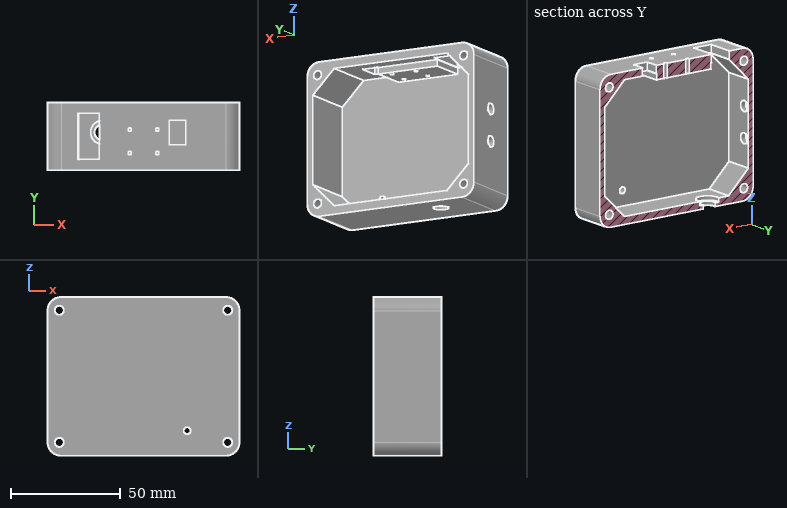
import cadquery as cq

length = 87.5
depth = 31.0
height = 72.4
corner_radius = 6.3

end_wall = 3.0
wall = 4.0
gusset_reach = 14.2
gusset_leg = gusset_reach - end_wall

screw_diameter = 4.0
screw_inset_x = 5.4
screw_inset_z = 6.1

front_hole_diameter = 3.1
front_hole_x = 19.9
front_hole_inset_z = 11.5

end_hole_diameter = 5.2
end_hole_spacing = 15.2

large_window = (9.8, 21.0)
large_window_center = (-24.95, 0.0)
small_window = (7.6, 11.1)
small_window_center = (15.5, 1.8)

pilot_diameter = 1.6
pilot_spacing_x = 12.5
pilot_spacing_y = 10.7
pilot_center_y = -2.3
pad_gap = 0.35
pad_thickness = 3.1

outlet_center = (-18.65, 1.8)
outlet_diameter = 7.2
outlet_recess_diameter = 10.85
outlet_recess_depth = wall / 2

front_face = -depth / 2
left_face = -length / 2
bottom_face = -height / 2
front_inner_face = front_face + wall
bottom_inner_face = bottom_face + wall
top_inner_face = height / 2 - wall


def make_shell():
    """Rounded block with a cavity open at +Y and solid gussets in its corners."""
    block = cq.Workplane("XY").box(length, depth, height).edges("|Y").fillet(corner_radius)
    cavity = (
        cq.Workplane("XY")
        .box(length - 2 * end_wall, depth, height - 2 * wall)
        .edges("|Y")
        .chamfer(gusset_leg)
        .translate((0, wall, 0))
    )
    return block.cut(cavity)


def make_pad():
    """Pad under the top wall between the windows, reaching the front wall."""
    left = large_window_center[0] + large_window[0] / 2 + pad_gap
    right = small_window_center[0] - small_window[0] / 2 - pad_gap
    width = 2 * (pilot_center_y - front_inner_face)
    return (
        cq.Workplane("XY", origin=((left + right) / 2, pilot_center_y, top_inner_face))
        .rect(right - left, width)
        .extrude(-pad_thickness)
    )


def make_screw_holes():
    return (
        cq.Workplane("XZ", origin=(0, front_face, 0))
        .rect(length - 2 * screw_inset_x, height - 2 * screw_inset_z, forConstruction=True)
        .vertices()
        .circle(screw_diameter / 2)
        .extrude(-depth)
    )


def make_front_hole():
    return (
        cq.Workplane("XZ", origin=(front_hole_x, front_face, bottom_face + front_hole_inset_z))
        .circle(front_hole_diameter / 2)
        .extrude(-wall)
    )


def make_end_holes():
    return (
        cq.Workplane("YZ", origin=(left_face, 0, 0))
        .rarray(0.9, end_hole_spacing, 1, 2)
        .circle(end_hole_diameter / 2)
        .extrude(end_wall)
    )


def make_window(size, center):
    return (
        cq.Workplane("XY", origin=(*center, top_inner_face))
        .rect(*size)
        .extrude(wall)
    )


def make_pilot_holes():
    """Small holes through the top wall and the pad."""
    return (
        cq.Workplane("XY", origin=(0, pilot_center_y, top_inner_face - pad_thickness))
        .rarray(pilot_spacing_x, pilot_spacing_y, 2, 2)
        .circle(pilot_diameter / 2)
        .extrude(pad_thickness + wall)
    )


def make_outlet():
    floor = cq.Workplane("XY", origin=(*outlet_center, bottom_inner_face))
    bore = floor.circle(outlet_diameter / 2).extrude(-wall)
    recess = floor.circle(outlet_recess_diameter / 2).extrude(-outlet_recess_depth)
    return bore.union(recess)


result = (
    make_shell()
    .union(make_pad())
    .cut(make_screw_holes())
    .cut(make_front_hole())
    .cut(make_end_holes())
    .cut(make_window(large_window, large_window_center))
    .cut(make_window(small_window, small_window_center))
    .cut(make_pilot_holes())
    .cut(make_outlet())
)